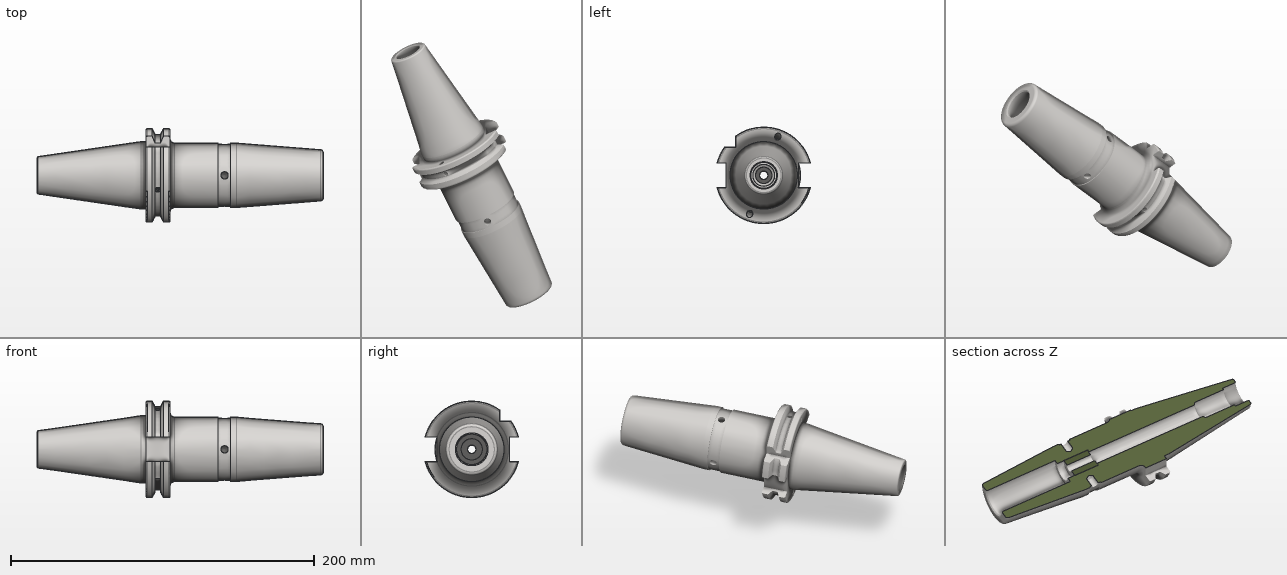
import cadquery as cq
import math


taper_ratio = 7 / 24
gauge_radius = 44.45 / 2
taper_length = 68.4
small_end_radius = gauge_radius - taper_ratio * taper_length / 2
small_end_fillet = 1.0

flange_start = 3.2
flange_end = 19.1
flange_radius = 63.55 / 2
flange_edge_fillet = 1.0
groove_center = 11.0
groove_floor_radius = 28.1
groove_floor_width = 3.5
groove_half_angle = math.radians(28.5)
groove_depth = flange_radius - groove_floor_radius
groove_top_width = groove_floor_width + 2 * groove_depth * math.tan(groove_half_angle)

drive_slot_width = 16.1
front_slot_floor = 22.8
back_slot_floor = 25.0
notch_offset = 18.5
floor_flat_distance = 23.9
floor_flat_angle = 14.9
floor_flat_length = 2 * math.sqrt(groove_floor_radius**2 - floor_flat_distance**2)

body_radius = 42.5 / 2
neck_fillet = 3.0
balance_groove_start = 50.8
balance_groove_end = 58.8
balance_groove_radius = 20.5
nose_start = 62.7
nose_end = 120.0
nose_angle = math.radians(4.5)
nose_tip_radius = body_radius - (nose_end - nose_start) * math.tan(nose_angle)
nose_fillet = 2.0

balance_hole_diameter = 4.8
balance_hole_position = 55.0
balance_hole_count = 4
balance_hole_depth = 7.0
drill_point_angle = math.radians(118)

rear_bore_radius = 8.5
rear_bore_depth = 10.0
rear_bore_chamfer = 0.5
drawbar_thread_radius = 7.2
drawbar_thread_depth = 32.0
through_bore_radius = 5.4
screw_seat_start = 45.0
screw_radius = 7.0
screw_length = 18.0
screw_hole_radius = 2.7
tool_bore_start = 68.0
tool_bore_radius = 10.0
tool_bore_chamfer = 0.8

coolant_circle_radius = 27.2
coolant_diameter = 4.0
coolant_length = 24.0
coolant_tilt = 30.0
coolant_angles = [20.0, 200.0]
plug_diameter = 3.2
plug_recess = 1.0
plug_length = 2.5
plug_outer_radius = groove_floor_radius - plug_recess
plug_inner_radius = plug_outer_radius - plug_length
plug_socket_size = 1.6
plug_socket_depth = 1.0


def revolve_about_x(profile):
    """Turn a closed (x, radius) profile around the X axis."""
    return profile.close().revolve(360, (0, 0, 0), (1, 0, 0))


def radial_cylinder(x, angle, diameter, inner_radius, outer_radius):
    """Cylinder along a radius; the angle is measured from +Z towards -Y."""
    cylinder = (
        cq.Workplane("XY", origin=(x, 0, inner_radius))
        .circle(diameter / 2)
        .extrude(outer_radius - inner_radius)
    )
    return cylinder.rotate((0, 0, 0), (1, 0, 0), angle)


def turned_blank():
    half_top = groove_top_width / 2
    half_floor = groove_floor_width / 2
    fillet_middle = neck_fillet * (1 - math.sqrt(0.5))
    profile = (
        cq.Workplane("XY")
        .moveTo(-taper_length, 0)
        .lineTo(-taper_length, small_end_radius)
        .lineTo(0, gauge_radius)
        .lineTo(flange_start, gauge_radius)
        .lineTo(flange_start, flange_radius - flange_edge_fillet)
        .tangentArcPoint((flange_edge_fillet, flange_edge_fillet))
        .lineTo(groove_center - half_top, flange_radius)
        .lineTo(groove_center - half_floor, groove_floor_radius)
        .lineTo(groove_center + half_floor, groove_floor_radius)
        .lineTo(groove_center + half_top, flange_radius)
        .lineTo(flange_end - flange_edge_fillet, flange_radius)
        .tangentArcPoint((flange_edge_fillet, -flange_edge_fillet))
        .lineTo(flange_end, body_radius + neck_fillet)
        .threePointArc(
            (flange_end + fillet_middle, body_radius + fillet_middle),
            (flange_end + neck_fillet, body_radius),
        )
        .lineTo(balance_groove_start, body_radius)
        .lineTo(balance_groove_start, balance_groove_radius)
        .lineTo(balance_groove_end, balance_groove_radius)
        .lineTo(balance_groove_end, body_radius)
        .lineTo(nose_start, body_radius)
        .lineTo(nose_end, nose_tip_radius)
        .lineTo(nose_end, 0)
    )
    blank = revolve_about_x(profile)
    blank = blank.faces(">X").edges().fillet(nose_fillet)
    return blank.faces("<X").edges().fillet(small_end_fillet)


def central_bore():
    rear = -taper_length
    thread_end = rear + drawbar_thread_depth
    point_length = (drawbar_thread_radius - through_bore_radius) / math.tan(drill_point_angle / 2)
    profile = (
        cq.Workplane("XY")
        .moveTo(rear, 0)
        .lineTo(rear, rear_bore_radius + rear_bore_chamfer)
        .lineTo(rear + rear_bore_chamfer, rear_bore_radius)
        .lineTo(rear + rear_bore_depth, rear_bore_radius)
        .lineTo(rear + rear_bore_depth, drawbar_thread_radius)
        .lineTo(thread_end, drawbar_thread_radius)
        .lineTo(thread_end + point_length, through_bore_radius)
        .lineTo(screw_seat_start, through_bore_radius)
        .lineTo(screw_seat_start, screw_radius)
        .lineTo(tool_bore_start, screw_radius)
        .lineTo(tool_bore_start, tool_bore_radius)
        .lineTo(nose_end - tool_bore_chamfer, tool_bore_radius)
        .lineTo(nose_end, tool_bore_radius + tool_bore_chamfer)
        .lineTo(nose_end, 0)
    )
    return revolve_about_x(profile)


def flange_cutouts():
    """Two drive slots of unequal depth and the square orientation notch."""
    length = flange_end - flange_start
    reach = flange_radius
    front_slot = cq.Workplane("XY").box(length, reach, drive_slot_width, centered=(False, False, True))
    back_slot = front_slot.translate((flange_start, back_slot_floor, 0))
    front_slot = front_slot.translate((flange_start, -front_slot_floor - reach, 0))
    notch = cq.Workplane("XY").box(length, reach, reach, centered=False)
    notch = notch.translate((flange_start, notch_offset, notch_offset))
    return front_slot.add(back_slot).add(notch).combine()


def groove_floor_flat():
    flat = cq.Workplane("XY").box(
        groove_floor_width,
        floor_flat_length,
        flange_radius - floor_flat_distance,
        centered=(True, True, False),
    )
    flat = flat.translate((groove_center, 0, floor_flat_distance))
    return flat.rotate((0, 0, 0), (1, 0, 0), 180 - floor_flat_angle)


def balance_hole(angle):
    """Blind hole with a conical drill point."""
    radius = balance_hole_diameter / 2
    floor = balance_groove_radius - balance_hole_depth
    point = floor - radius / math.tan(drill_point_angle / 2)
    hole = (
        cq.Workplane("XZ")
        .moveTo(0, point)
        .lineTo(radius, floor)
        .lineTo(radius, body_radius)
        .lineTo(0, body_radius)
        .close()
        .revolve(360, (0, 0, 0), (0, 1, 0))
    )
    return hole.translate((balance_hole_position, 0, 0)).rotate((0, 0, 0), (1, 0, 0), angle)


def coolant_channel(angle):
    """Channel drilled from the flange face, leaning towards the axis."""
    channel = (
        cq.Workplane("YZ")
        .workplane(offset=-coolant_diameter)
        .circle(coolant_diameter / 2)
        .extrude(coolant_length + coolant_diameter)
        .rotate((0, 0, 0), (0, 1, 0), coolant_tilt)
        .translate((flange_start, 0, coolant_circle_radius))
    )
    front_space = cq.Workplane("YZ").circle(flange_radius * 2).extrude(-flange_radius)
    channel = channel.cut(front_space.translate((flange_start, 0, 0)))
    return channel.rotate((0, 0, 0), (1, 0, 0), angle)


def sealing_plug(angle):
    """Short set screw with a hexagon socket, seated in the groove floor."""
    plug = radial_cylinder(groove_center, 0, plug_diameter, plug_inner_radius, plug_outer_radius)
    plug = plug.faces(">Z").workplane().polygon(6, plug_socket_size).cutBlind(-plug_socket_depth)
    return plug.rotate((0, 0, 0), (1, 0, 0), angle)


def adjusting_screw():
    """Length stop for the tool, with a coolant hole along its axis."""
    return (
        cq.Workplane("YZ", origin=(screw_seat_start, 0, 0))
        .circle(screw_radius)
        .circle(screw_hole_radius)
        .extrude(screw_length)
    )


def tool_holder():
    holder = turned_blank().cut(central_bore()).cut(flange_cutouts()).cut(groove_floor_flat())
    for index in range(balance_hole_count):
        holder = holder.cut(balance_hole(index * 360 / balance_hole_count))
    for angle in coolant_angles:
        plug_hole = radial_cylinder(
            groove_center, angle, plug_diameter, plug_inner_radius, groove_floor_radius
        )
        holder = holder.cut(coolant_channel(angle)).cut(plug_hole)
    return holder


holder = tool_holder()
screw = adjusting_screw()
plugs = [sealing_plug(angle) for angle in coolant_angles]

result = cq.Compound.makeCompound([holder.val(), screw.val(), *[plug.val() for plug in plugs]])